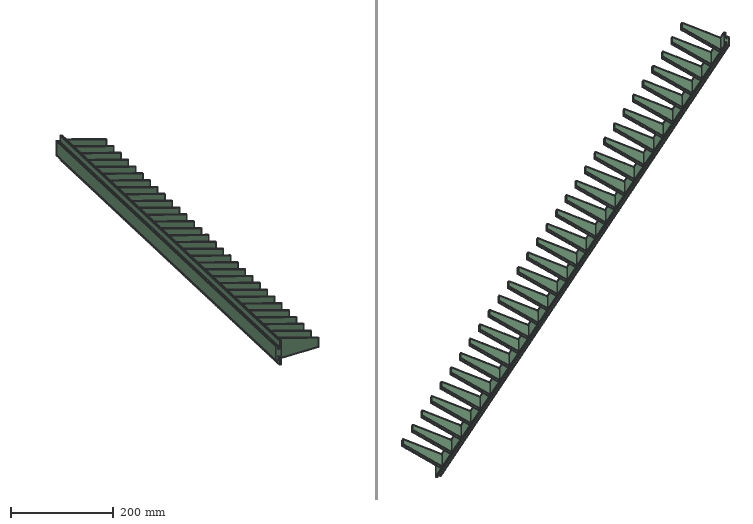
import cadquery as cq

rail_length = 1143.0
flange_height = 50.8
flange_thickness = 3.175
slab_height = 30.1625
slab_thickness = 4.7625
neck_height = 15.875
neck_thickness = 3.175

fin_count = 30
fin_pitch = rail_length / fin_count
fin_thickness = 4.7625
fin_length = 87.3125
fin_root_height = 44.45
fin_tip_height = 19.05
first_fin_start_x = 12.7

slab_front_y = 0.0
slab_back_y = slab_front_y + slab_thickness
flange_front_y = slab_back_y + neck_thickness
flange_back_y = flange_front_y + flange_thickness
fin_tip_y = flange_back_y + fin_length


def rail_plate(height, front_y, thickness):
    """Full-length plate centred on the XY plane, its front face at front_y."""
    plate = cq.Workplane("XY").box(rail_length, thickness, height, centered=(False, False, True))
    return plate.translate((0, front_y, 0))


def fin(start_x):
    """Tapered fin parallel to the YZ plane, rooted on the back of the flange."""
    outline = [
        (flange_back_y, -fin_root_height / 2),
        (fin_tip_y, -fin_tip_height / 2),
        (fin_tip_y, fin_tip_height / 2),
        (flange_back_y, fin_root_height / 2),
    ]
    section = cq.Workplane("YZ", origin=(start_x, 0, 0)).polyline(outline).close()
    return section.extrude(fin_thickness)


slab = rail_plate(slab_height, slab_front_y, slab_thickness)
neck = rail_plate(neck_height, slab_back_y, neck_thickness)
flange = rail_plate(flange_height, flange_front_y, flange_thickness)

result = slab.union(neck).union(flange)
for index in range(fin_count):
    result = result.union(fin(first_fin_start_x + index * fin_pitch))